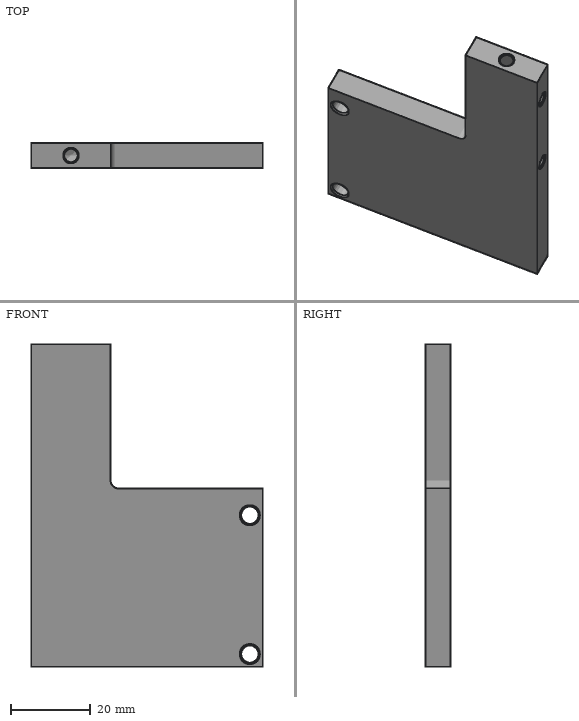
import cadquery as cq

width = 58.3
thickness = 6.35
height = 81.35
arm_width = 20.0
base_height = 45.0
corner_radius = 2.0

through_diameter = 4.3
through_mouth_diameter = 5.1
through_edge_distance = 3.25
through_spacing = 35.0

blind_diameter = 3.3
blind_mouth_diameter = 4.0
blind_depth = 7.3
drill_tip_ratio = 0.58
side_hole_heights = (43.8, 70.45)

mid_thickness = thickness / 2


def drill(depth, diameter, mouth_diameter, tip_height=0.0):
    """Round cutter along +Z from the origin, with a 45 degree mouth and an optional conical tip."""
    radius = diameter / 2
    mouth_radius = mouth_diameter / 2
    profile = (
        cq.Workplane("XZ")
        .lineTo(mouth_radius, 0)
        .lineTo(radius, mouth_radius - radius)
        .lineTo(radius, depth)
        .lineTo(0, depth + tip_height)
        .close()
    )
    return profile.revolve(360, (0, 0, 0), (0, 1, 0))


plate = (
    cq.Workplane("XZ")
    .lineTo(width, 0)
    .lineTo(width, base_height)
    .lineTo(arm_width, base_height)
    .lineTo(arm_width, height)
    .lineTo(0, height)
    .close()
    .extrude(-thickness)
)
inner_corner = cq.selectors.NearestToPointSelector((arm_width, mid_thickness, base_height))
result = plate.edges("|Y").edges(inner_corner).fillet(corner_radius)

half_through = drill(mid_thickness, through_diameter, through_mouth_diameter)
from_front = half_through.rotate((0, 0, 0), (1, 0, 0), -90)
from_back = half_through.rotate((0, 0, 0), (1, 0, 0), 90).translate((0, thickness, 0))
for hole_height in (through_edge_distance, through_edge_distance + through_spacing):
    position = (width - through_edge_distance, 0, hole_height)
    result = result.cut(from_front.translate(position)).cut(from_back.translate(position))

tip_height = drill_tip_ratio * blind_diameter / 2
blind_drill = drill(blind_depth, blind_diameter, blind_mouth_diameter, tip_height)
side_drill = blind_drill.rotate((0, 0, 0), (0, 1, 0), 90)
for hole_height in side_hole_heights:
    result = result.cut(side_drill.translate((0, mid_thickness, hole_height)))

top_drill = blind_drill.rotate((0, 0, 0), (1, 0, 0), 180)
result = result.cut(top_drill.translate((arm_width / 2, mid_thickness, height)))